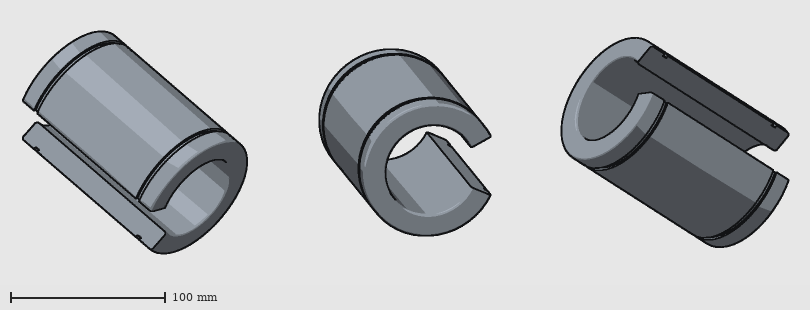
import cadquery as cq
import math

length = 125.0
outer_radius = 45.0
bore_radius = 30.0
edge_radius = 2.0
groove_offset = 11.9
groove_width = 3.0
groove_depth = 1.8
opening_angle = 53.0


def tube(tube_length, outside, inside):
    """Hollow cylinder along X, centred on the origin."""
    return (
        cq.Workplane("YZ")
        .circle(outside)
        .circle(inside)
        .extrude(tube_length / 2, both=True)
    )


def opening_wedge():
    """Wedge with its apex on the axis, wider and longer than the sleeve."""
    reach = 2 * outer_radius
    half_height = reach * math.tan(math.radians(opening_angle / 2))
    return (
        cq.Workplane("YZ")
        .polyline([(0, 0), (-reach, half_height), (-reach, -half_height)])
        .close()
        .extrude(length, both=True)
    )


sleeve = tube(length, outer_radius, bore_radius).faces("<X or >X").edges().fillet(edge_radius)

groove_ring = tube(groove_width, outer_radius + groove_depth, outer_radius - groove_depth)
groove_position = length / 2 - groove_offset - groove_width / 2
for side in (-1, 1):
    sleeve = sleeve.cut(groove_ring.translate((side * groove_position, 0, 0)))

result = sleeve.cut(opening_wedge())